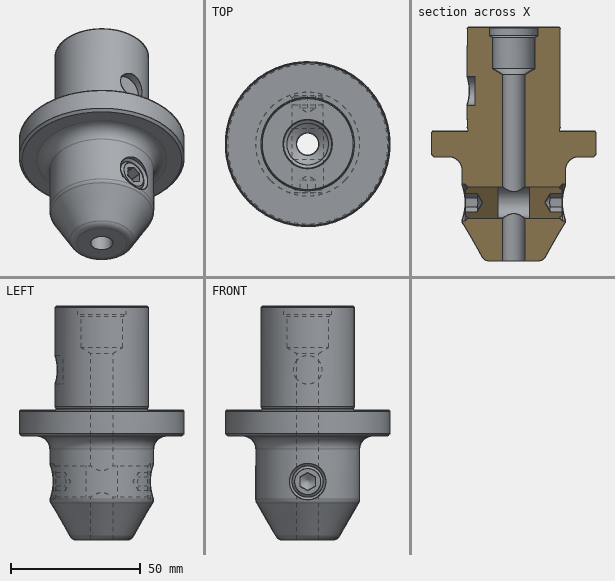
import cadquery as cq
import math


shank_radius = 18.0
shank_length = 40.0
shank_chamfer = 0.5
undercut_height = 1.3
undercut_depth = 0.3
undercut_ramp = 0.6

flange_radius = 63.5 / 2
flange_thickness = 10.0
flange_top_chamfer = 0.5
flange_bottom_chamfer = 1.0

nose_radius = 20.0
nose_root_fillet = 5.0
nose_length = 50.0
taper_start = 35.0
taper_angle = math.radians(30)
taper_fillet = 3.0

socket_radius = 9.25
socket_chamfer = 0.25
socket_depth = 3.25
bore_radius = 8.0
bore_depth = 16.0
coolant_radius = 4.25
drill_point_angle = math.radians(59)

recess_radius = 5.5
recess_z = 15.5
recess_depth = 3.0

screw_radius = 6.0
screw_chamfer = 1.0
screw_z = -27.5
screw_face = 18.6
screw_tip = 6.0
screw_hole_mouth_radius = 7.0
hex_across_flats = 6.0
hex_depth = 4.5
screw_sides = (0, 180)


def make_blank():
    """Solid of revolution: shank, undercut, flange and tapered nose."""
    taper_end_radius = nose_radius - (nose_length - taper_start) * math.tan(taper_angle)
    upper_tangent = taper_fillet * math.tan(taper_angle / 2)
    lower_tangent = taper_fillet * math.tan((math.pi / 2 - taper_angle) / 2)
    along_r = math.sin(taper_angle)
    along_z = math.cos(taper_angle)
    undercut_radius = shank_radius - undercut_depth
    flange_bottom = -flange_thickness
    return (
        cq.Workplane("XZ")
        .moveTo(0, shank_length)
        .lineTo(shank_radius - shank_chamfer, shank_length)
        .lineTo(shank_radius, shank_length - shank_chamfer)
        .lineTo(shank_radius, undercut_height)
        .lineTo(undercut_radius, undercut_height - undercut_ramp)
        .lineTo(undercut_radius, 0)
        .lineTo(flange_radius - flange_top_chamfer, 0)
        .lineTo(flange_radius, -flange_top_chamfer)
        .lineTo(flange_radius, flange_bottom + flange_bottom_chamfer)
        .lineTo(flange_radius - flange_bottom_chamfer, flange_bottom)
        .lineTo(nose_radius + nose_root_fillet, flange_bottom)
        .radiusArc((nose_radius, flange_bottom - nose_root_fillet), -nose_root_fillet)
        .lineTo(nose_radius, -taper_start + upper_tangent)
        .radiusArc(
            (nose_radius - upper_tangent * along_r, -taper_start - upper_tangent * along_z),
            taper_fillet,
        )
        .lineTo(
            taper_end_radius + lower_tangent * along_r,
            -nose_length + lower_tangent * along_z,
        )
        .radiusArc((taper_end_radius - lower_tangent, -nose_length), taper_fillet)
        .lineTo(0, -nose_length)
        .close()
        .revolve(360, (0, 0, 0), (0, 1, 0))
    )


def make_axial_bore():
    """Stepped bore: chamfered socket, conical step, main bore with drill point, coolant hole."""
    socket_bottom = shank_length - socket_depth
    step_height = (socket_radius - bore_radius) / math.tan(drill_point_angle)
    bore_bottom = shank_length - bore_depth
    drill_point_height = (bore_radius - coolant_radius) / math.tan(drill_point_angle)
    return (
        cq.Workplane("XZ")
        .moveTo(0, shank_length)
        .lineTo(socket_radius + socket_chamfer, shank_length)
        .lineTo(socket_radius, shank_length - socket_chamfer)
        .lineTo(socket_radius, socket_bottom)
        .lineTo(bore_radius, socket_bottom - step_height)
        .lineTo(bore_radius, bore_bottom)
        .lineTo(coolant_radius, bore_bottom - drill_point_height)
        .lineTo(coolant_radius, -nose_length)
        .lineTo(0, -nose_length)
        .close()
        .revolve(360, (0, 0, 0), (0, 1, 0))
    )


def make_shank_recess():
    """Cutter for the flat-bottomed recess in the +Y side of the shank."""
    floor = shank_radius - recess_depth
    return (
        cq.Workplane("XZ", origin=(0, floor, recess_z))
        .circle(recess_radius)
        .extrude(-2 * recess_depth)
    )


def make_screw_hole(side):
    """Cutter for a screw hole with a 45 degree countersunk mouth, from the axis outwards."""
    mouth_y = math.sqrt(nose_radius**2 - screw_hole_mouth_radius**2)
    mouth_chamfer = screw_hole_mouth_radius - screw_radius
    return (
        cq.Workplane("XY")
        .lineTo(screw_radius, 0)
        .lineTo(screw_radius, -mouth_y + mouth_chamfer)
        .lineTo(screw_hole_mouth_radius, -mouth_y)
        .lineTo(screw_hole_mouth_radius, -flange_radius)
        .lineTo(0, -flange_radius)
        .close()
        .revolve(360, (0, 0, 0), (0, 1, 0))
        .translate((0, 0, screw_z))
        .rotate((0, 0, 0), (0, 0, 1), side)
    )


def make_screw(side):
    """Set screw with a chamfered outer end and a hexagon socket with a drill point."""
    hex_corner_radius = hex_across_flats / math.sqrt(3)
    drill_point_height = hex_corner_radius / math.tan(drill_point_angle)
    blank = (
        cq.Workplane("XZ", origin=(0, -screw_tip, 0))
        .circle(screw_radius)
        .extrude(screw_face - screw_tip)
        .faces("<Y")
        .chamfer(screw_chamfer)
    )
    hex_socket = (
        cq.Workplane("XZ", origin=(0, -screw_face, 0))
        .polygon(6, 2 * hex_corner_radius)
        .extrude(-hex_depth - drill_point_height)
        .rotate((0, 0, 0), (0, 1, 0), 30)
    )
    drilled_envelope = (
        cq.Workplane("XY")
        .moveTo(0, -screw_face)
        .lineTo(hex_corner_radius, -screw_face)
        .lineTo(hex_corner_radius, -screw_face + hex_depth)
        .lineTo(0, -screw_face + hex_depth + drill_point_height)
        .close()
        .revolve(360, (0, 0, 0), (0, 1, 0))
    )
    return (
        blank.cut(hex_socket.intersect(drilled_envelope))
        .translate((0, 0, screw_z))
        .rotate((0, 0, 0), (0, 0, 1), side)
    )


def make_holder():
    """Holder body with its bore, shank recess and screw holes."""
    holder = make_blank().cut(make_axial_bore()).cut(make_shank_recess())
    for side in screw_sides:
        holder = holder.cut(make_screw_hole(side))
    return holder


holder = make_holder()
screws = [make_screw(side) for side in screw_sides]
result = cq.Compound.makeCompound([holder.val(), *[screw.val() for screw in screws]])